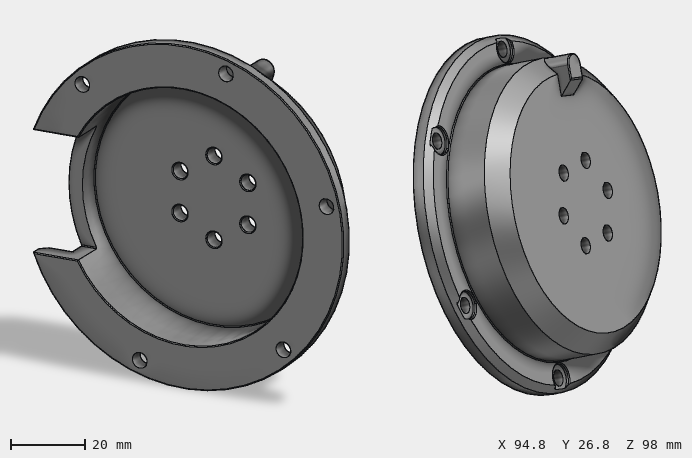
import cadquery as cq
import math


edge_break = 0.3

flange_radius = 49
flange_thickness = 5.5
flange_back_chamfer = 2.0

body_radius = 40.6
body_depth = 22.7
body_back_chamfer = 5.0
bore_radius = 36.5
bore_depth = 17.9

notch_width = 35.0
notch_depth = 11.0

hole_pitch_angle = 60
hole_diameter = 4.4
floor_hole_ring_radius = 12.0
floor_hole_angles = [90 + i * hole_pitch_angle for i in range(6)]

flange_hole_ring_radius = 45.0
flange_hole_first_angle = -107
flange_hole_angles = [flange_hole_first_angle + i * hole_pitch_angle for i in range(5)]
counterbore_diameter = 7.5
counterbore_depth = 1.0

key_angle = flange_hole_angles[3]
key_width = 6.0
key_outer_radius = 40.4
key_inner_radius = 33.4
key_back = 26.8


def disc(radius, start, end):
    """Cylinder about the Y axis between two Y positions."""
    return cq.Workplane("XZ", origin=(0, start, 0)).circle(radius).extrude(start - end)


def ring_points(radius, angles):
    """Points (x, z) on a circle about the Y axis, at angles in degrees from +X toward +Z."""
    turns = [math.radians(angle) for angle in angles]
    return [(radius * math.cos(turn), radius * math.sin(turn)) for turn in turns]


def cone(start_radius, end_radius, start, end, point=(0, 0)):
    """Truncated cone along +Y, centred on an (x, z) point."""
    x, z = point
    base = cq.Vector(x, start, z)
    return cq.Workplane(cq.Solid.makeCone(start_radius, end_radius, end - start, base, cq.Vector(0, 1, 0)))


def drill(points, diameter, start, end):
    """Round cutters along Y at the given (x, z) points."""
    plane = cq.Workplane("XZ", origin=(0, start, 0))
    return plane.pushPoints(points).circle(diameter / 2).extrude(start - end)


def make_flange():
    return disc(flange_radius, 0, flange_thickness).faces(">Y").chamfer(flange_back_chamfer)


def make_body():
    """Solid cup body with a beveled back rim and a bevel where it meets the flange."""
    body = disc(body_radius, 0, body_depth).faces(">Y").chamfer(body_back_chamfer)
    joint_bevel_end = flange_thickness + edge_break
    joint_bevel = cone(body_radius + edge_break, body_radius, flange_thickness, joint_bevel_end)
    return body.union(joint_bevel)


def make_key():
    """Radial key with a round outer end, a 45 degree inner end and a beveled back rim."""
    half_width = key_width / 2
    cap_center = key_outer_radius - half_width
    root = body_depth - body_back_chamfer
    inner_root = key_inner_radius - (key_back - root)
    side_profile = [
        (inner_root, root),
        (cap_center, root),
        (cap_center, key_back),
        (key_inner_radius, key_back),
    ]
    blade = cq.Workplane("XY").polyline(side_profile).close().extrude(half_width, both=True)
    cap = drill([(cap_center, 0)], key_width, root, key_back)
    key = blade.union(cap).faces(">Y").chamfer(edge_break)
    return key.rotate((0, 0, 0), (0, 1, 0), -key_angle)


def make_bore():
    """Bore cutter, beveled where the wall meets the floor."""
    return disc(bore_radius, 0, bore_depth).faces(">Y").chamfer(edge_break)


def make_notch():
    """Notch cutter from the axis outward to -X, beveled in its two floor corners."""
    block = cq.Workplane("XY").box(flange_radius, notch_depth, notch_width)
    block = block.faces(">Y").edges("|X").chamfer(edge_break)
    return block.translate((-flange_radius / 2, notch_depth / 2, 0))


def cut_floor_holes(part):
    """Through holes in the cup floor, beveled on the bore side."""
    points = ring_points(floor_hole_ring_radius, floor_hole_angles)
    part = part.cut(drill(points, hole_diameter, bore_depth, body_depth))
    hole_radius = hole_diameter / 2
    bevel_end = bore_depth + edge_break
    for point in points:
        part = part.cut(cone(hole_radius + edge_break, hole_radius, bore_depth, bevel_end, point))
    return part


def cut_flange_holes(part):
    """Through holes in the flange, with bevel-rimmed counterbores on its back."""
    points = ring_points(flange_hole_ring_radius, flange_hole_angles)
    part = part.cut(drill(points, hole_diameter, 0, flange_thickness))
    counterbore_floor = flange_thickness - counterbore_depth
    part = part.cut(drill(points, counterbore_diameter, counterbore_floor, flange_thickness))
    rim_radius = counterbore_diameter / 2
    rim_start = flange_thickness - edge_break
    for point in points:
        part = part.cut(cone(rim_radius, rim_radius + edge_break, rim_start, flange_thickness, point))
    return part


cup = make_flange().union(make_body()).union(make_key())
cup = cup.cut(make_bore()).cut(make_notch())
cup = cup.faces("<Y").chamfer(edge_break)
cup = cut_floor_holes(cup)
result = cut_flange_holes(cup)